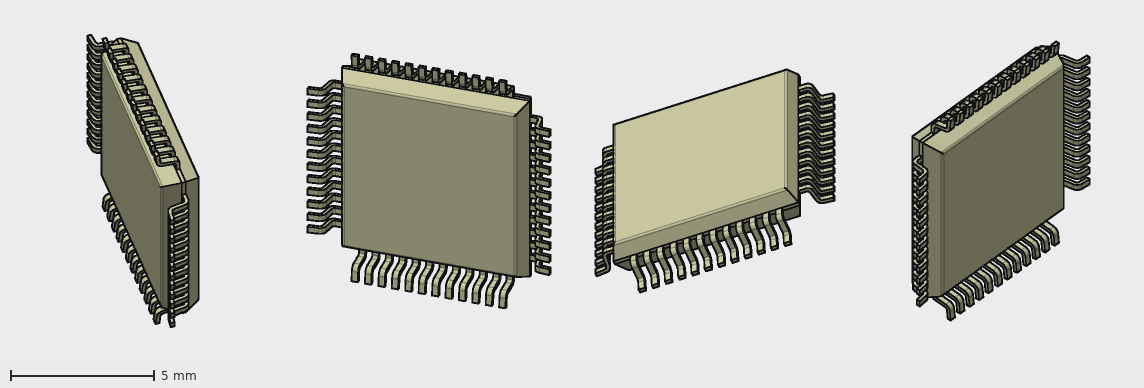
import cadquery as cq
import math

BODY_WIDTH = 7.0
OVERALL_DEPTH = 1.48
STANDOFF = 0.07
TAPER = 22.0
EDGE_RADIUS = 0.1

LEAD_SPAN = 9.0
LEADS_PER_SIDE = 12
LEAD_ROW_LENGTH = 5.5
LEAD_WIDTH = 0.23
LEAD_THICKNESS = 0.14
SHOULDER_HEIGHT = 0.9
INNER_BEND_RADIUS = 0.1
HEEL_OUTER_RADIUS = INNER_BEND_RADIUS + LEAD_THICKNESS
KNEE_OUTER_RADIUS = 0.2
KNEE_INSET = 0.61
LEG_LEAN = 8.0
FOOT_TILT = 6.0
LEAD_ROOT_OVERLAP = 0.36

lead_pitch = LEAD_ROW_LENGTH / (LEADS_PER_SIDE - 1)

foot_y = -OVERALL_DEPTH / 2
body_front_y = foot_y + STANDOFF
body_back_y = OVERALL_DEPTH / 2
band_back_y = foot_y + SHOULDER_HEIGHT
band_front_y = band_back_y - LEAD_THICKNESS


def square_slab(y, depth, taper=0.0):
    """Body-wide square extruded from y along Y; a negative depth runs toward -Y."""
    plane = cq.Plane(origin=(0, y, 0), xDir=(1, 0, 0), normal=(0, math.copysign(1, depth), 0))
    return cq.Workplane(plane).rect(BODY_WIDTH, BODY_WIDTH).extrude(abs(depth), taper=taper)


def make_body():
    band = square_slab(band_front_y, LEAD_THICKNESS)
    front_half = square_slab(band_front_y, body_front_y - band_front_y, TAPER)
    back_half = square_slab(band_back_y, body_back_y - band_back_y, TAPER)
    front_half = front_half.faces("<Y").edges().fillet(EDGE_RADIUS)
    back_half = back_half.faces(">Y").edges().fillet(EDGE_RADIUS)
    return band.union(front_half).union(back_half)


def mitre(point, heading_in, heading_out):
    """Points half a lead thickness to the left and right of a bend in the lead's centre line."""
    middle = math.radians((heading_in + heading_out) / 2)
    half_turn = math.radians((heading_out - heading_in) / 2)
    reach = LEAD_THICKNESS / 2 / math.cos(half_turn)
    dx = -math.sin(middle) * reach
    dy = math.cos(middle) * reach
    return (point[0] + dx, point[1] + dy), (point[0] - dx, point[1] - dy)


def bend(solid, corner, radius):
    """Round the edge along Z that passes through an outline corner."""
    edge = cq.selectors.NearestToPointSelector((corner[0], corner[1], 0))
    return solid.edges("|Z").edges(edge).fillet(radius)


def make_lead():
    """One lead on the -X side, centred on Z = 0, followed from its toe to its root."""
    leg_heading = 90 - LEG_LEAN
    half = LEAD_THICKNESS / 2
    toe_x = -LEAD_SPAN / 2
    toe_y = foot_y + half / math.cos(math.radians(FOOT_TILT))
    knee = (toe_x + KNEE_INSET, band_back_y - half)
    root = (-BODY_WIDTH / 2 + LEAD_ROOT_OVERLAP, knee[1])

    foot_slope = math.tan(math.radians(FOOT_TILT))
    leg_slope = math.tan(math.radians(leg_heading))
    heel_x = (toe_y - knee[1] + leg_slope * knee[0] - foot_slope * toe_x) / (leg_slope - foot_slope)
    heel = (heel_x, toe_y + foot_slope * (heel_x - toe_x))

    heel_inner, heel_outer = mitre(heel, FOOT_TILT, leg_heading)
    knee_outer, knee_inner = mitre(knee, leg_heading, 0)
    toe_half = toe_y - foot_y
    outline = [
        (toe_x, toe_y + toe_half),
        heel_inner,
        knee_outer,
        (root[0], root[1] + half),
        (root[0], root[1] - half),
        knee_inner,
        heel_outer,
        (toe_x, toe_y - toe_half),
    ]
    lead = cq.Workplane("XY").polyline(outline).close().extrude(LEAD_WIDTH / 2, both=True)

    lead = bend(lead, heel_inner, INNER_BEND_RADIUS)
    lead = bend(lead, heel_outer, HEEL_OUTER_RADIUS)
    lead = bend(lead, knee_inner, INNER_BEND_RADIUS)
    lead = bend(lead, knee_outer, KNEE_OUTER_RADIUS)
    return lead


result = make_body()
lead = make_lead()
for side in range(4):
    for index in range(LEADS_PER_SIDE):
        offset = index * lead_pitch - LEAD_ROW_LENGTH / 2
        result = result.union(lead.translate((0, 0, offset)).rotate((0, 0, 0), (0, 1, 0), side * 90))